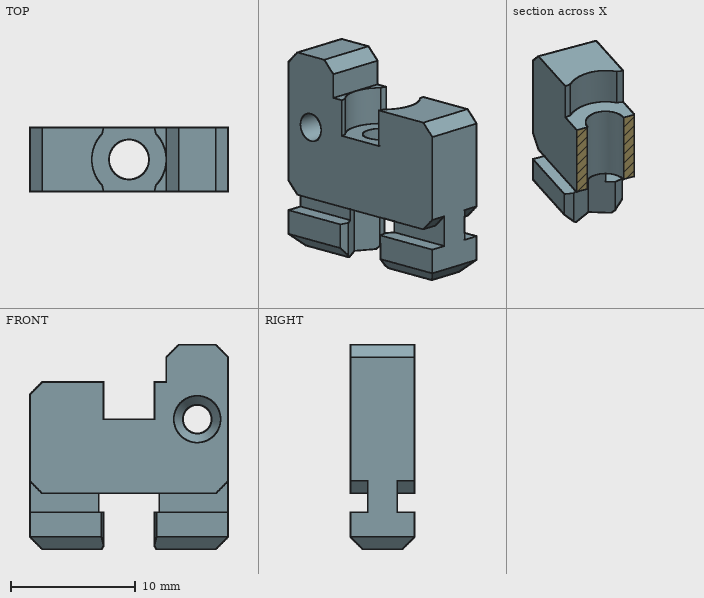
import cadquery as cq
import math

LENGTH = 16.0
WIDTH = 5.2
HEIGHT = 16.5
CHAMFER = 1.0

FOOT_TOP = 3.0
BODY_BOTTOM = 4.5
SEAT_FLOOR = 10.5
SHOULDER_TOP = 13.5

NECK_WIDTH = 2.4

SEAT_RADIUS = 3.0
MOUTH_INNER_HALF = 2.16
MOUTH_OUTER_HALF = 2.05
SCREW_HOLE_DIAMETER = 3.2

NUT_CORNER_RADIUS = 3.12
GAP_THROAT_HALF = 2.05
GAP_OUTER_HALF = 2.23

POST_LEFT = SEAT_RADIUS
CROSS_HOLE_X = (POST_LEFT + LENGTH / 2) / 2
CROSS_HOLE_Z = SEAT_FLOOR
CROSS_HOLE_DIAMETER = 2.3
COUNTERSINK_DIAMETER = 3.78
COUNTERSINK_ANGLE = 60

END = LENGTH / 2
SIDE = WIDTH / 2


def make_body():
    """Upper block with the post, chamfered at its outer corners."""
    outline = [
        (-END + CHAMFER, BODY_BOTTOM),
        (END - CHAMFER, BODY_BOTTOM),
        (END, BODY_BOTTOM + CHAMFER),
        (END, HEIGHT - CHAMFER),
        (END - CHAMFER, HEIGHT),
        (POST_LEFT + CHAMFER, HEIGHT),
        (POST_LEFT, HEIGHT - CHAMFER),
        (POST_LEFT, SHOULDER_TOP),
        (-END + CHAMFER, SHOULDER_TOP),
        (-END, SHOULDER_TOP - CHAMFER),
        (-END, BODY_BOTTOM + CHAMFER),
    ]
    return cq.Workplane("XZ").polyline(outline).close().extrude(SIDE, both=True)


def make_base():
    """Full-length foot, chamfered underneath, and the neck above it."""
    foot = cq.Workplane("XY").box(LENGTH, WIDTH, FOOT_TOP, centered=(True, True, False))
    foot = foot.faces("<Z").chamfer(CHAMFER)
    neck_top = BODY_BOTTOM + CHAMFER
    neck = (
        cq.Workplane("XY")
        .workplane(offset=FOOT_TOP)
        .rect(LENGTH, NECK_WIDTH)
        .extrude(neck_top - FOOT_TOP)
    )
    return foot.union(neck)


def make_seat_cutter():
    """Round screw seat opening through both sides of the body."""
    mouth_y = math.sqrt(SEAT_RADIUS**2 - MOUTH_INNER_HALF**2)
    return (
        cq.Workplane("XY")
        .workplane(offset=SEAT_FLOOR)
        .moveTo(MOUTH_OUTER_HALF, -SIDE)
        .lineTo(MOUTH_INNER_HALF, -mouth_y)
        .threePointArc((SEAT_RADIUS, 0), (MOUTH_INNER_HALF, mouth_y))
        .lineTo(MOUTH_OUTER_HALF, SIDE)
        .lineTo(-MOUTH_OUTER_HALF, SIDE)
        .lineTo(-MOUTH_INNER_HALF, mouth_y)
        .threePointArc((-SEAT_RADIUS, 0), (-MOUTH_INNER_HALF, -mouth_y))
        .lineTo(-MOUTH_OUTER_HALF, -SIDE)
        .close()
        .extrude(SHOULDER_TOP - SEAT_FLOOR)
    )


def make_gap_cutter():
    """Nut space that splits the base into two feet."""
    throat_y = (NUT_CORNER_RADIUS - GAP_THROAT_HALF) * math.tan(math.radians(60))
    outline = [
        (GAP_OUTER_HALF, -SIDE),
        (GAP_THROAT_HALF, -throat_y),
        (NUT_CORNER_RADIUS, 0),
        (GAP_THROAT_HALF, throat_y),
        (GAP_OUTER_HALF, SIDE),
        (-GAP_OUTER_HALF, SIDE),
        (-GAP_THROAT_HALF, throat_y),
        (-NUT_CORNER_RADIUS, 0),
        (-GAP_THROAT_HALF, -throat_y),
        (-GAP_OUTER_HALF, -SIDE),
    ]
    return cq.Workplane("XY").polyline(outline).close().extrude(BODY_BOTTOM)


def drill_cross_hole(part):
    """Hole through the post along Y, countersunk on the -Y side."""
    return (
        part.copyWorkplane(cq.Workplane("XZ", origin=(CROSS_HOLE_X, -SIDE, CROSS_HOLE_Z)))
        .cskHole(CROSS_HOLE_DIAMETER, COUNTERSINK_DIAMETER, COUNTERSINK_ANGLE)
    )


screw_hole = cq.Workplane("XY").circle(SCREW_HOLE_DIAMETER / 2).extrude(HEIGHT)

result = make_body().union(make_base())
result = result.cut(make_seat_cutter()).cut(make_gap_cutter()).cut(screw_hole)
result = drill_cross_hole(result)